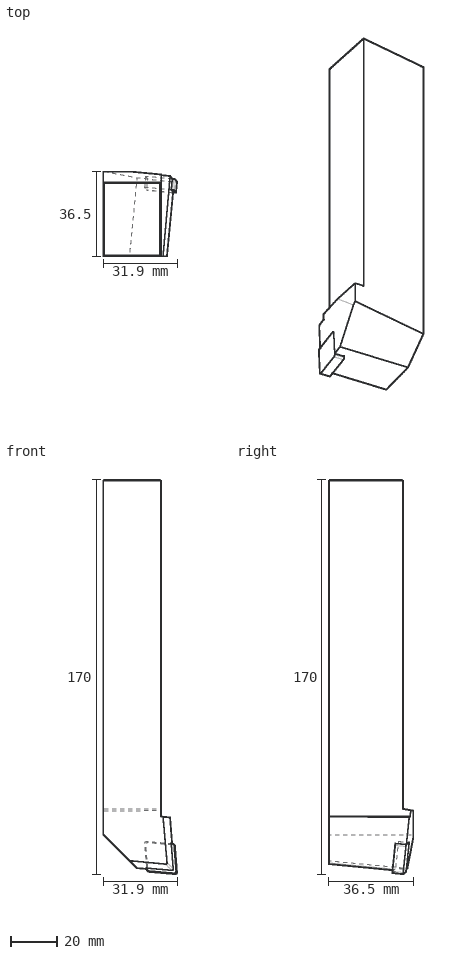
import cadquery as cq
import math

shank_width = 25.0
shank_height = 32.0
tool_length = 170.0
end_chamfer = 0.5

head_height = 36.5
top_ledge_z = 28.2
top_ledge_drop = 0.8
side_ledge_z = 24.9
side_ledge_angle = 6.0
heel_chamfer = 17.1

tip_x = 31.97
tip_y = 32.0
tip_z = -0.1
lean = math.tan(math.radians(5.5))
lead_angle = 5.0

insert_side = 12.9
insert_thickness = 4.76
nose_radius = 0.8
flank_setback = 1.15
flank_side = 60.0
flank_depth = 50.0
flank_corner_radius = 0.6

insert_plane = cq.Plane(
    origin=(tip_x, tip_y, tip_z),
    xDir=(1, -lean, 0),
    normal=(-lean, -1, lean),
)


def leaning_rhombus(side, setback, depth):
    """Prism square to the insert face, its acute corner set back from the tip."""
    angle = math.radians(lead_angle)
    long_step = side * math.cos(angle)
    short_step = side * math.sin(angle)
    corner = setback / (math.cos(angle) - math.sin(angle))
    outline = [
        (-corner, corner),
        (-corner - short_step, corner + long_step),
        (-corner - short_step - long_step, corner + long_step + short_step),
        (-corner - long_step, corner + short_step),
    ]
    return (
        cq.Workplane(insert_plane)
        .polyline(outline)
        .close()
        .extrude(depth)
    )


def make_insert():
    blank = leaning_rhombus(insert_side, 0, insert_thickness)
    edges = blank.edges(cq.selectors.ParallelDirSelector(insert_plane.zDir))
    return edges.fillet(nose_radius)


def make_head():
    ledge_fall = (tip_x - shank_width) * math.tan(math.radians(side_ledge_angle))
    block = (
        cq.Workplane("XZ")
        .moveTo(0, top_ledge_z)
        .lineTo(shank_width, top_ledge_z)
        .lineTo(shank_width, side_ledge_z)
        .lineTo(tip_x, side_ledge_z - ledge_fall)
        .lineTo(tip_x, 0)
        .lineTo(heel_chamfer, 0)
        .lineTo(0, heel_chamfer)
        .close()
        .extrude(-head_height)
    )
    ledge_slope = (
        cq.Workplane("YZ")
        .moveTo(shank_height, top_ledge_z)
        .lineTo(head_height, top_ledge_z)
        .lineTo(head_height, top_ledge_z - top_ledge_drop)
        .close()
        .extrude(shank_width)
    )
    flanks = leaning_rhombus(flank_side, flank_setback, flank_depth)
    corner_edge = flanks.edges(cq.selectors.ParallelDirSelector(insert_plane.zDir)).edges(">X")
    return block.cut(ledge_slope).intersect(corner_edge.fillet(flank_corner_radius))


def make_shank():
    return (
        cq.Workplane("XY", origin=(0, 0, top_ledge_z))
        .rect(shank_width, shank_height)
        .extrude(tool_length - top_ledge_z)
        .translate((shank_width / 2, shank_height / 2, 0))
        .faces(">Z")
        .chamfer(end_chamfer)
    )


insert = make_insert()

holder = make_shank().union(make_head()).cut(insert)

result = cq.Compound.makeCompound([holder.val(), insert.val()])